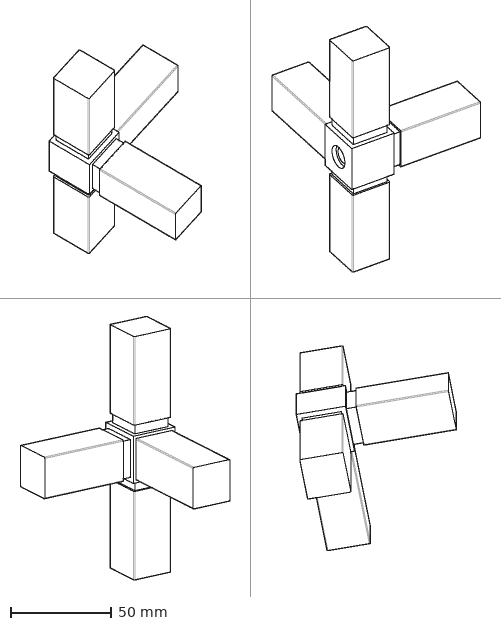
import cadquery as cq

overall_height = 129

cube_side = 25.0

arm_reach = (overall_height - cube_side) / 2
plug_width = 22.0
plug_edge_radius = 0.5
neck_width = 20.0
neck_length = 5.0

bore_diameter = 8.4
bore_depth = 10.0
counterbore_diameter = 12.0
counterbore_depth = 2.5


def make_arm(direction, neck):
    """Arm along the given axis, with rounded long edges and a neck of the given length."""
    face = cq.Workplane(cq.Plane(origin=(0, 0, 0), xDir=side_axis(direction), normal=direction))
    face = face.workplane(offset=cube_side / 2)
    plug = face.workplane(offset=neck).rect(plug_width, plug_width).extrude(arm_reach - neck)
    plug = plug.edges(cq.selectors.ParallelDirSelector(cq.Vector(direction))).fillet(plug_edge_radius)
    if neck > 0:
        plug = plug.union(face.rect(neck_width, neck_width).extrude(neck))
    return plug


def side_axis(direction):
    """A coordinate axis perpendicular to the arm."""
    return (0, 1, 0) if direction[1] == 0 else (1, 0, 0)


def make_screw_hole():
    """Cutter for the counterbored hole, entering the -X face."""
    entry = cq.Workplane("YZ", origin=(-cube_side / 2, 0, 0))
    bore = entry.circle(bore_diameter / 2).extrude(bore_depth)
    counterbore = entry.circle(counterbore_diameter / 2).extrude(counterbore_depth)
    return bore.union(counterbore)


body = cq.Workplane("XY").box(cube_side, cube_side, cube_side)

for direction in ((1, 0, 0), (0, 0, 1), (0, 0, -1)):
    body = body.union(make_arm(direction, neck_length))

body = body.union(make_arm((0, 1, 0), 0))

result = body.cut(make_screw_hole())